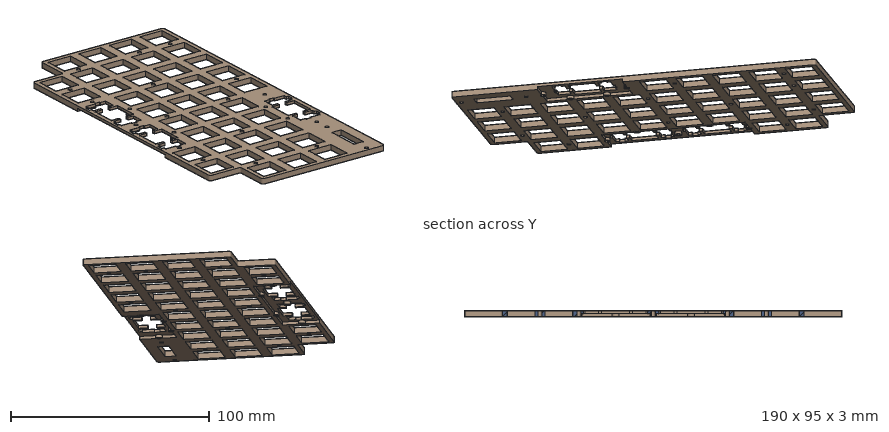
import cadquery as cq

PITCH = 19.0
COLUMNS = 10
ROWS = 5
BOTTOM_COLUMNS = 8
TOP_KEYS = 5
BOTTOM_END_KEYS = 2
THICKNESS = 3.0
CORNER_RADIUS = 1.3
INNER_RADIUS = 1.0

LENGTH = COLUMNS * PITCH
DEPTH = ROWS * PITCH
BOTTOM_LENGTH = BOTTOM_COLUMNS * PITCH
FRONT_Y = -DEPTH / 2
BACK_Y = DEPTH / 2

TOP_ROW_Y = BACK_Y - PITCH / 2
BOTTOM_ROW_Y = FRONT_Y + PITCH / 2
TOP_ROW_EDGE_Y = BACK_Y - PITCH
BOTTOM_ROW_EDGE_Y = FRONT_Y + PITCH

SWITCH_SIZE = 14.0
DISPLAY_X = 75.6
DISPLAY_Y = 38.7
DISPLAY_LENGTH = 19.0
DISPLAY_WIDTH = 5.7
DISPLAY_HOLE_OFFSET = 17.0

STAB_OFFSET = 12.0
STAB_WIDTH = 6.7
STAB_FAR_Y = 5.5
STAB_NEAR_Y = -6.7
STAB_FOOT_WIDTH = 3.0
STAB_FOOT_Y = -8.0
STAB_EAR_REACH = 0.8
STAB_EAR_LOW_Y = -0.5
STAB_EAR_HIGH_Y = 2.3
STAB_BAR_WIDTH = 4.5

TOP_WIDE_X = 28.0
BOTTOM_WIDE_X = PITCH

HOLE_DIAMETER = 2.0
BOSS_DIAMETER = 3.6
RELIEF_DEPTH = 1.5
STAB_HOLE_REACH = 22.3
STAB_HOLE_SHIFT = 0.4
BOTTOM_HOLE_X = 37.5

TOP_STAB_HOLES = [
    (TOP_WIDE_X - STAB_HOLE_REACH, TOP_ROW_Y - STAB_HOLE_SHIFT),
    (TOP_WIDE_X + STAB_HOLE_REACH, TOP_ROW_Y - STAB_HOLE_SHIFT),
    (PITCH, TOP_ROW_EDGE_Y),
    (2 * PITCH, TOP_ROW_EDGE_Y),
]
BOTTOM_STAB_HOLES = [
    (-BOTTOM_HOLE_X, BOTTOM_ROW_Y - STAB_HOLE_SHIFT),
    (0, BOTTOM_ROW_Y - STAB_HOLE_SHIFT),
    (BOTTOM_HOLE_X, BOTTOM_ROW_Y - STAB_HOLE_SHIFT),
    (-PITCH, BOTTOM_ROW_EDGE_Y),
    (PITCH, BOTTOM_ROW_EDGE_Y),
]
DISPLAY_HOLES = [
    (DISPLAY_X - DISPLAY_HOLE_OFFSET, TOP_ROW_Y),
    (DISPLAY_X + DISPLAY_HOLE_OFFSET, TOP_ROW_Y),
]
GRID_HOLES = [
    (-4, 2), (-1, 2),
    (-4, 1), (0, 1), (4, 1),
    (-2, 0), (2, 0),
    (-4, -1), (0, -1), (4, -1),
    (-3, -2), (3, -2),
]


def rectangle(x_min, x_max, y_min, y_max, height=THICKNESS):
    """Block standing on the underside of the plate."""
    return cq.Workplane("XY").box(
        x_max - x_min, y_max - y_min, height, centered=False
    ).translate((x_min, y_min, 0))


def pegs(points, diameter, height=THICKNESS):
    """Upright cylinders standing on the underside of the plate."""
    return cq.Workplane("XY").pushPoints(points).circle(diameter / 2).extrude(height)


def plate():
    """Full-width upper rows joined to a narrower bottom row, with rounded corners."""
    upper = rectangle(-LENGTH / 2, LENGTH / 2, BOTTOM_ROW_EDGE_Y, BACK_Y)
    lower = rectangle(-BOTTOM_LENGTH / 2, BOTTOM_LENGTH / 2, FRONT_Y, BOTTOM_ROW_EDGE_Y)
    blank = upper.union(lower)
    half_thickness = THICKNESS / 2
    for x in (-BOTTOM_LENGTH / 2, BOTTOM_LENGTH / 2):
        step_corner = cq.selectors.NearestToPointSelector((x, BOTTOM_ROW_EDGE_Y, half_thickness))
        blank = blank.edges("|Z").edges(step_corner).fillet(INNER_RADIUS)
    for x, y in (
        (LENGTH / 2, BACK_Y),
        (LENGTH / 2, BOTTOM_ROW_EDGE_Y),
        (BOTTOM_LENGTH / 2, FRONT_Y),
    ):
        for side in (-1, 1):
            corner = cq.selectors.NearestToPointSelector((side * x, y, half_thickness))
            blank = blank.edges("|Z").edges(corner).fillet(CORNER_RADIUS)
    return blank


def stabilizer_opening():
    """Wide-key switch opening joined by a bar slot to a housing opening on each side."""
    half_switch = SWITCH_SIZE / 2
    half_bar = STAB_BAR_WIDTH / 2
    half_housing = STAB_WIDTH / 2
    half_foot = STAB_FOOT_WIDTH / 2
    ear_x = STAB_OFFSET + half_housing + STAB_EAR_REACH
    opening = rectangle(-half_switch, half_switch, -half_switch, half_switch)
    opening = opening.union(rectangle(-STAB_OFFSET, STAB_OFFSET, -half_bar, half_bar))
    opening = opening.union(rectangle(-ear_x, ear_x, STAB_EAR_LOW_Y, STAB_EAR_HIGH_Y))
    for x in (-STAB_OFFSET, STAB_OFFSET):
        housing = rectangle(x - half_housing, x + half_housing, STAB_NEAR_Y, STAB_FAR_Y)
        foot = rectangle(x - half_foot, x + half_foot, STAB_FOOT_Y, STAB_NEAR_Y)
        opening = opening.union(housing).union(foot)
    return opening


def switch_centres():
    """Centres of the single-width keys."""
    first_x = -(COLUMNS - 1) * PITCH / 2
    column_x = [first_x + column * PITCH for column in range(COLUMNS)]
    top_row = [(x, TOP_ROW_Y) for x in column_x[:TOP_KEYS]]
    middle_rows = [
        (x, TOP_ROW_Y - row * PITCH)
        for row in range(1, ROWS - 1)
        for x in column_x
    ]
    first = (COLUMNS - BOTTOM_COLUMNS) // 2
    left_x = column_x[first:first + BOTTOM_END_KEYS]
    bottom_row = [(side * x, BOTTOM_ROW_Y) for x in left_x for side in (1, -1)]
    return top_row + middle_rows + bottom_row


def relief(x_min, x_max, y_min, y_max, holes):
    """Pocket in the underside that leaves a round boss about each screw hole."""
    pocket = rectangle(x_min, x_max, y_min, y_max, RELIEF_DEPTH)
    return pocket.cut(pegs(holes, BOSS_DIAMETER, RELIEF_DEPTH))


result = plate()

result = result.cut(
    relief(-BOTTOM_HOLE_X, BOTTOM_HOLE_X, FRONT_Y, BOTTOM_ROW_EDGE_Y, BOTTOM_STAB_HOLES)
)
result = result.cut(
    relief(TOP_STAB_HOLES[0][0], TOP_STAB_HOLES[1][0], TOP_ROW_EDGE_Y, BACK_Y, TOP_STAB_HOLES)
)

result = result.cut(
    cq.Workplane("XY").pushPoints(switch_centres()).rect(SWITCH_SIZE, SWITCH_SIZE).extrude(THICKNESS)
)

for wide_x in (-BOTTOM_WIDE_X, BOTTOM_WIDE_X):
    result = result.cut(stabilizer_opening().translate((wide_x, BOTTOM_ROW_Y, 0)))
turned_opening = stabilizer_opening().rotate((0, 0, 0), (0, 0, 1), 180)
result = result.cut(turned_opening.translate((TOP_WIDE_X, TOP_ROW_Y, 0)))

result = result.cut(
    cq.Workplane("XY").center(DISPLAY_X, DISPLAY_Y).rect(DISPLAY_LENGTH, DISPLAY_WIDTH).extrude(THICKNESS)
)

grid_points = [(x * PITCH, y * PITCH) for x, y in GRID_HOLES]
screw_points = grid_points + DISPLAY_HOLES + TOP_STAB_HOLES + BOTTOM_STAB_HOLES
result = result.cut(pegs(screw_points, HOLE_DIAMETER))